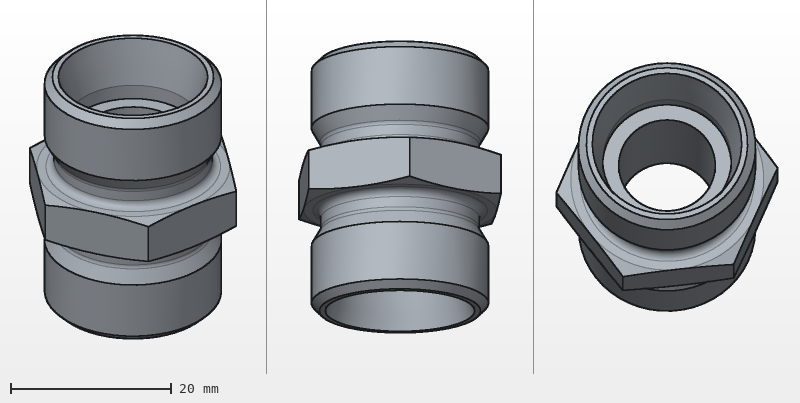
import cadquery as cq
import math

LENGTH = 32.0
BODY_RADIUS = 22.0 / 2
END_CHAMFER = 1.0

GROOVE_RADIUS = 19.7 / 2
SHOULDER_DEPTH = 8.4
GROOVE_CONE_ANGLE = 30.0
GROOVE_FILLET = 1.0

ACROSS_FLATS = 24.0
HEX_HEIGHT = 6.0
HEX_CHAMFER_ANGLE = 15.0

BORE_RADIUS = 12.0 / 2
SOCKET_RADIUS = 16.0 / 2
SOCKET_MOUTH_RADIUS = 18.55 / 2
SOCKET_DEPTH = 8.0
SOCKET_CONE_ANGLE = 12.0

half_length = LENGTH / 2
half_hex = HEX_HEIGHT / 2
corner_radius = ACROSS_FLATS / 2 / math.cos(math.radians(30))


def revolve(profile):
    """Turn a closed (radius, height) profile about the Z axis."""
    return profile.close().revolve(360, (0, 0, 0), (0, 1, 0))


def make_end():
    """Upper turned end, from the middle of the hexagon to the end face."""
    angle = math.radians(GROOVE_CONE_ANGLE)
    shoulder_z = half_length - SHOULDER_DEPTH
    cone_foot_z = shoulder_z - (BODY_RADIUS - GROOVE_RADIUS) / math.tan(angle)

    fillet_low_z = cone_foot_z - GROOVE_FILLET * math.tan(angle / 2)

    def upper_fillet_point(turn):
        return (
            GROOVE_RADIUS + GROOVE_FILLET * (1 - math.cos(turn)),
            fillet_low_z + GROOVE_FILLET * math.sin(turn),
        )

    fillet_mid = GROOVE_FILLET * (1 - math.sqrt(0.5))
    return revolve(
        cq.Workplane("XZ")
        .moveTo(0, 0)
        .lineTo(GROOVE_RADIUS + GROOVE_FILLET, 0)
        .lineTo(GROOVE_RADIUS + GROOVE_FILLET, half_hex)
        .threePointArc(
            (GROOVE_RADIUS + fillet_mid, half_hex + fillet_mid),
            (GROOVE_RADIUS, half_hex + GROOVE_FILLET),
        )
        .lineTo(GROOVE_RADIUS, fillet_low_z)
        .threePointArc(upper_fillet_point(angle / 2), upper_fillet_point(angle))
        .lineTo(BODY_RADIUS, shoulder_z)
        .lineTo(BODY_RADIUS, half_length - END_CHAMFER)
        .lineTo(BODY_RADIUS - END_CHAMFER, half_length)
        .lineTo(0, half_length)
    )


def make_hexagon():
    """Hexagon with its corners turned down by shallow cones on both faces."""
    prism = (
        cq.Workplane("XY")
        .polygon(6, 2 * corner_radius)
        .extrude(half_hex, both=True)
        .rotate((0, 0, 0), (0, 0, 1), 30)
    )
    face_radius = ACROSS_FLATS / 2
    blank_radius = corner_radius + 0.32
    drop = (blank_radius - face_radius) * math.tan(math.radians(HEX_CHAMFER_ANGLE))
    blank = revolve(
        cq.Workplane("XZ")
        .moveTo(0, -half_hex)
        .lineTo(face_radius, -half_hex)
        .lineTo(blank_radius, drop - half_hex)
        .lineTo(blank_radius, half_hex - drop)
        .lineTo(face_radius, half_hex)
        .lineTo(0, half_hex)
    )
    return prism.intersect(blank)


def make_socket():
    """Upper socket: a cone narrowing to a flat-bottomed counterbore."""
    cone_depth = (SOCKET_MOUTH_RADIUS - SOCKET_RADIUS) / math.tan(math.radians(SOCKET_CONE_ANGLE))
    return revolve(
        cq.Workplane("XZ")
        .moveTo(0, half_length - SOCKET_DEPTH)
        .lineTo(SOCKET_RADIUS, half_length - SOCKET_DEPTH)
        .lineTo(SOCKET_RADIUS, half_length - cone_depth)
        .lineTo(SOCKET_MOUTH_RADIUS, half_length)
        .lineTo(0, half_length)
    )


end = make_end()
socket = make_socket()
bore = cq.Workplane("XY").circle(BORE_RADIUS).extrude(half_length, both=True)

result = (
    make_hexagon()
    .union(end)
    .union(end.mirror("XY"))
    .cut(bore)
    .cut(socket)
    .cut(socket.mirror("XY"))
)